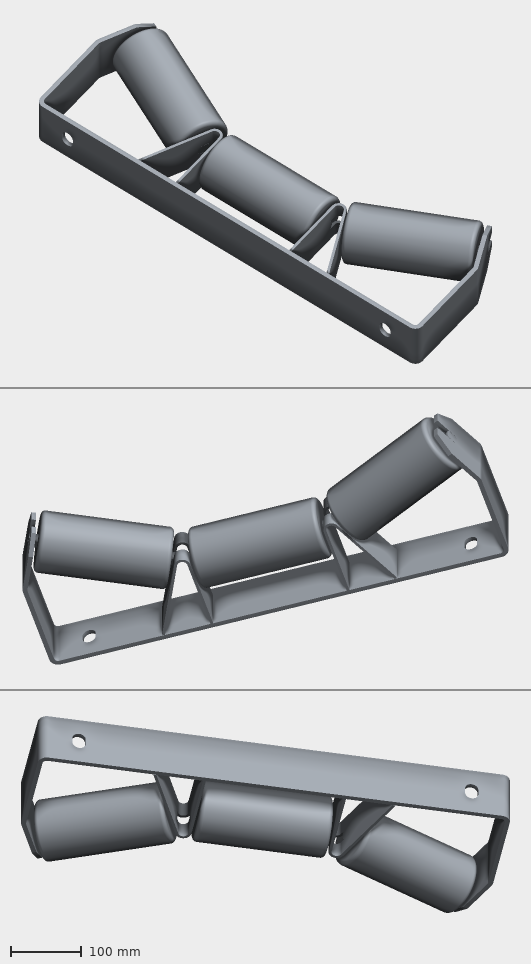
import cadquery as cq
import math


FRAME_LENGTH = 680.0
FRAME_WIDTH = 80.0
FRAME_THICKNESS = 7.0
FRAME_BEND_RADIUS = 13.0
ARM_CORNER_Y = 142.0
ARM_TIP_Y = 226.0
ARM_CHAMFER_LENGTH = 30.5
ARM_CHAMFER_WIDTH = 16.0
MOUNT_SLOT_SPACING = 566.0
MOUNT_SLOT_LENGTH = 27.0
MOUNT_SLOT_WIDTH = 19.0

ROLLER_DIAMETER = 89.0
ROLLER_LENGTH = 190.0
ROLLER_FILLET = 6.0
SHAFT_DIAMETER = 20.0
SHAFT_FLATS = 16.0
TROUGH_ANGLE = 25.0
TILT_ANGLE = 2.0
CENTRE_ROLLER_Y = 102.0
CENTRE_ROLLER_Z = 32.0
SIDE_ROLLER_X = 216.0
SIDE_ROLLER_Y = 152.0

BRACKET_THICKNESS = 4.0
BRACKET_BEND_RADIUS = 11.5
BRACKET_GAP = 4.0

TROUGH = math.radians(TROUGH_ANGLE)
TILT = math.radians(TILT_ANGLE)
COS_TROUGH = math.cos(TROUGH)
SIN_TROUGH = math.sin(TROUGH)
HALF_LENGTH = FRAME_LENGTH / 2
BRACKET_FACE = ROLLER_LENGTH / 2 + BRACKET_GAP
BRACKET_WIDTH = 2 * CENTRE_ROLLER_Z
SIDE_ROLLER_Z = CENTRE_ROLLER_Z + BRACKET_FACE * math.sin(TILT)
ARM_FACE = (HALF_LENGTH - SIDE_ROLLER_X) * COS_TROUGH + (ARM_CORNER_Y - SIDE_ROLLER_Y) * SIN_TROUGH

CENTRE_PLANE = cq.Plane((0, CENTRE_ROLLER_Y, CENTRE_ROLLER_Z), xDir=(0, 1, 0), normal=(1, 0, 0))
SIDE_PLANE = cq.Plane(
    (SIDE_ROLLER_X, SIDE_ROLLER_Y, SIDE_ROLLER_Z),
    xDir=(-SIN_TROUGH, COS_TROUGH, 0),
    normal=(COS_TROUGH * math.cos(TILT), SIN_TROUGH * math.cos(TILT), math.sin(TILT)),
)


def flatted_shaft(plane, start, end):
    """Round bar along the plane normal with two parallel flats."""
    bar = cq.Workplane(plane).workplane(offset=start).circle(SHAFT_DIAMETER / 2).extrude(end - start)
    flats = cq.Workplane(plane).workplane(offset=start).rect(SHAFT_DIAMETER, SHAFT_FLATS).extrude(end - start)
    return bar.intersect(flats)


def shaft_slot(plane, start, end):
    """Cutter for a slot that seats a shaft end and is open along local X of the plane."""
    seat = flatted_shaft(plane, start, end)
    mouth = (
        cq.Workplane(plane)
        .workplane(offset=start)
        .center(ROLLER_DIAMETER / 2, 0)
        .rect(ROLLER_DIAMETER, SHAFT_FLATS)
        .extrude(end - start)
    )
    return seat.union(mouth)


def make_roller(plane, shaft_start, shaft_end):
    """Roller with its shaft, centred on the plane origin."""
    shell = (
        cq.Workplane(plane)
        .workplane(offset=-ROLLER_LENGTH / 2)
        .circle(ROLLER_DIAMETER / 2)
        .extrude(ROLLER_LENGTH)
        .edges()
        .fillet(ROLLER_FILLET)
    )
    return shell.union(flatted_shaft(plane, shaft_start, shaft_end))


def mirrored(body):
    """The same body on the other side of the YZ plane."""
    return body.mirror("YZ")


def make_frame_half():
    """Right half of the frame."""
    inner_corner_x = HALF_LENGTH - FRAME_THICKNESS
    inner_corner_y = ARM_CORNER_Y - FRAME_THICKNESS * math.tan(TROUGH / 2)
    arm_length = (ARM_TIP_Y - ARM_CORNER_Y) / COS_TROUGH
    tip_x = HALF_LENGTH - arm_length * SIN_TROUGH
    inner_tip = (tip_x - FRAME_THICKNESS * COS_TROUGH, ARM_TIP_Y - FRAME_THICKNESS * SIN_TROUGH)
    strip = (
        cq.Workplane("XY")
        .polyline([
            (0, 0),
            (HALF_LENGTH, 0),
            (HALF_LENGTH, ARM_CORNER_Y),
            (tip_x, ARM_TIP_Y),
            inner_tip,
            (inner_corner_x, inner_corner_y),
            (inner_corner_x, FRAME_THICKNESS),
            (0, FRAME_THICKNESS),
        ])
        .close()
        .extrude(FRAME_WIDTH)
    )
    inner_radius = FRAME_BEND_RADIUS - FRAME_THICKNESS
    bends = [
        (HALF_LENGTH, 0, FRAME_BEND_RADIUS),
        (HALF_LENGTH, ARM_CORNER_Y, FRAME_BEND_RADIUS),
        (inner_corner_x, inner_corner_y, inner_radius),
        (inner_corner_x, FRAME_THICKNESS, inner_radius),
    ]
    for x, y, radius in bends:
        corner = cq.selectors.NearestToPointSelector((x, y, FRAME_WIDTH / 2))
        strip = strip.edges("|Z").edges(corner).fillet(radius)

    arm_plane = cq.Plane((tip_x, ARM_TIP_Y, 0), xDir=(-SIN_TROUGH, COS_TROUGH, 0),
                         normal=(COS_TROUGH, SIN_TROUGH, 0))
    for edge_z, inward in ((0, 1), (FRAME_WIDTH, -1)):
        corner = (
            cq.Workplane(arm_plane)
            .polyline([
                (0, edge_z),
                (-ARM_CHAMFER_LENGTH, edge_z),
                (0, edge_z + inward * ARM_CHAMFER_WIDTH),
            ])
            .close()
            .extrude(FRAME_THICKNESS, both=True)
        )
        strip = strip.cut(corner)

    strip = strip.cut(shaft_slot(SIDE_PLANE, ARM_FACE - 2 * FRAME_THICKNESS, ARM_FACE + FRAME_THICKNESS))

    mount_slot = (
        cq.Workplane("XZ")
        .center(MOUNT_SLOT_SPACING / 2, FRAME_WIDTH / 2)
        .slot2D(MOUNT_SLOT_LENGTH, MOUNT_SLOT_WIDTH, 90)
        .extrude(-FRAME_THICKNESS)
    )
    return strip.cut(mount_slot)


def make_bracket():
    """Right bracket: a leg along Y and an inclined leg, joined by a round bend."""
    bend_x = BRACKET_FACE + BRACKET_BEND_RADIUS
    bend_y = SIDE_ROLLER_Y + ((SIDE_ROLLER_X - bend_x) * COS_TROUGH - bend_x) / SIN_TROUGH
    inner_radius = BRACKET_BEND_RADIUS - BRACKET_THICKNESS

    def on_bend(radius, angle):
        return (bend_x + radius * math.cos(angle), bend_y + radius * math.sin(angle))

    inner_end = on_bend(inner_radius, TROUGH)
    leg_length = (inner_end[1] - FRAME_THICKNESS) / COS_TROUGH
    inner_foot = (inner_end[0] + leg_length * SIN_TROUGH, FRAME_THICKNESS)
    outer_foot = (
        inner_foot[0] + BRACKET_THICKNESS * COS_TROUGH,
        inner_foot[1] + BRACKET_THICKNESS * SIN_TROUGH,
    )
    bend_middle = (math.pi + TROUGH) / 2
    strip = (
        cq.Workplane("XY")
        .moveTo(BRACKET_FACE, FRAME_THICKNESS)
        .lineTo(BRACKET_FACE, bend_y)
        .threePointArc(on_bend(BRACKET_BEND_RADIUS, bend_middle), on_bend(BRACKET_BEND_RADIUS, TROUGH))
        .lineTo(*outer_foot)
        .lineTo(*inner_foot)
        .lineTo(*inner_end)
        .threePointArc(on_bend(inner_radius, bend_middle), on_bend(inner_radius, math.pi))
        .lineTo(BRACKET_FACE + BRACKET_THICKNESS, FRAME_THICKNESS)
        .close()
        .extrude(BRACKET_WIDTH)
    )

    slot_start = BRACKET_FACE - BRACKET_GAP
    slot_end = BRACKET_FACE + BRACKET_BEND_RADIUS
    strip = strip.cut(shaft_slot(CENTRE_PLANE, slot_start, slot_end))
    return strip.cut(shaft_slot(SIDE_PLANE, -slot_end, -slot_start))


frame_half = make_frame_half()
frame = frame_half.union(mirrored(frame_half), clean=True)

bracket_depth = BRACKET_FACE + BRACKET_THICKNESS
centre_roller = make_roller(CENTRE_PLANE, -bracket_depth, bracket_depth)

right_bracket = make_bracket()
right_roller = make_roller(SIDE_PLANE, -bracket_depth, ARM_FACE)
paired_bodies = []
for body in (right_bracket, right_roller):
    paired_bodies += [body.val(), mirrored(body).val()]

result = cq.Compound.makeCompound([frame.val(), centre_roller.val(), *paired_bodies])